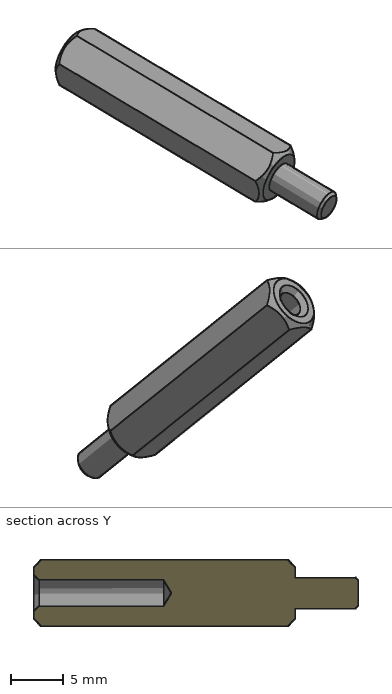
import cadquery as cq
import math

total_length = 31.0
stud_length = 6.0
hex_length = total_length - stud_length
across_corners = 6.35

end_face_diameter = 4.95
corner_chamfer = (across_corners - end_face_diameter) / 2

stud_diameter = 3.0
stud_chamfer = 0.28

bore_diameter = 2.45
bore_depth = 12.4
drill_tip_angle = 118.0
countersink_diameter = 3.5


def hex_body():
    """Hexagon with corners up and down, its ends trimmed by 45 degree cones."""
    prism = (
        cq.Workplane("YZ")
        .polygon(6, across_corners)
        .extrude(hex_length)
        .rotate((0, 0, 0), (1, 0, 0), 90)
    )
    envelope = (
        cq.Workplane("YZ")
        .circle(across_corners / 2)
        .extrude(hex_length)
        .edges("%CIRCLE")
        .chamfer(corner_chamfer)
    )
    return prism.intersect(envelope)


def stud():
    """Plain stud with a chamfered tip."""
    return (
        cq.Workplane("YZ", origin=(hex_length, 0, 0))
        .circle(stud_diameter / 2)
        .extrude(stud_length)
        .faces(">X")
        .chamfer(stud_chamfer)
    )


def blind_bore():
    """Countersunk blind hole with a conical drill tip, revolved about X."""
    bore_radius = bore_diameter / 2
    countersink_radius = countersink_diameter / 2
    countersink_depth = countersink_radius - bore_radius
    tip_length = bore_radius / math.tan(math.radians(drill_tip_angle / 2))
    return (
        cq.Workplane("XY")
        .lineTo(0, countersink_radius)
        .lineTo(countersink_depth, bore_radius)
        .lineTo(bore_depth, bore_radius)
        .lineTo(bore_depth + tip_length, 0)
        .close()
        .revolve(360, (0, 0, 0), (1, 0, 0))
    )


result = hex_body().union(stud()).cut(blind_bore())